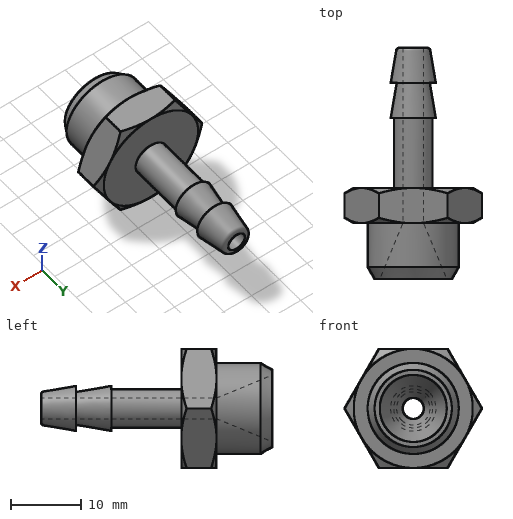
import cadquery as cq
import math

total_length = 33.0
thread_length = 8.0
hex_thickness = 5.0
barb_length = 5.0
barb_count = 2

thread_radius = 6.5
thread_chamfer_radial = 1.0
thread_chamfer_axial = 1.7

hex_flats = 17.0
hex_corners = hex_flats / math.cos(math.radians(30))
hex_chamfer_angle = 30.0

neck_radius = 2.77
barb_large_radius = 3.25
barb_small_radius = 2.38
tip_fillet = 0.5

bore_radius = 1.5
mouth_radius = 4.8
mouth_cone_angle = 45.0

hex_end = thread_length + hex_thickness
barbs_start = total_length - barb_count * barb_length


def revolve_profile(points):
    """Revolve a closed outline of (radius, y) points about the Y axis."""
    return cq.Workplane("XY").polyline(points).close().revolve(360, (0, 0, 0), (0, 1, 0))


def make_thread():
    return revolve_profile([
        (0, 0),
        (thread_radius - thread_chamfer_radial, 0),
        (thread_radius, thread_chamfer_axial),
        (thread_radius, thread_length),
        (0, thread_length),
    ])


def make_hexagon():
    """Hexagon whose corners are turned down by a cone on both faces."""
    prism = (
        cq.Workplane("XZ", origin=(0, hex_end, 0))
        .polygon(6, hex_corners)
        .extrude(hex_thickness)
    )
    flat_radius = hex_flats / 2
    corner_radius = hex_corners / 2
    drop = (corner_radius - flat_radius) * math.tan(math.radians(hex_chamfer_angle))
    envelope = revolve_profile([
        (0, thread_length),
        (flat_radius, thread_length),
        (corner_radius, thread_length + drop),
        (corner_radius, hex_end - drop),
        (flat_radius, hex_end),
        (0, hex_end),
    ])
    return prism.intersect(envelope)


def make_hose_tail():
    """Plain neck followed by barbs that narrow toward the tip."""
    outline = [(0, hex_end), (neck_radius, hex_end), (neck_radius, barbs_start)]
    for index in range(barb_count):
        barb_start = barbs_start + index * barb_length
        outline.append((barb_large_radius, barb_start))
        outline.append((barb_small_radius, barb_start + barb_length))
    outline.append((0, total_length))
    return revolve_profile(outline).faces(">Y").edges().fillet(tip_fillet)


def make_bore():
    """Through bore that flares into a conical mouth at the threaded end."""
    cone_depth = (mouth_radius - bore_radius) / math.tan(math.radians(mouth_cone_angle / 2))
    return revolve_profile([
        (0, 0),
        (mouth_radius, 0),
        (bore_radius, cone_depth),
        (bore_radius, total_length),
        (0, total_length),
    ])


result = make_thread().union(make_hexagon()).union(make_hose_tail()).cut(make_bore())